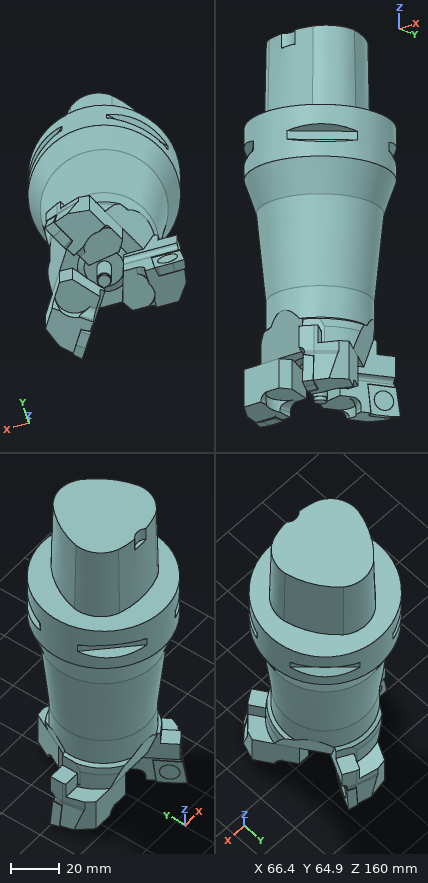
import cadquery as cq
import math


total_height = 160
flange_top = 122.2
flange_bottom = 99.7
shoulder_bottom = 85.0
taper_bottom = 46.2
flange_radius = 63.0 / 2
shoulder_radius = 26.4
neck_radius = 45.0 / 2
collar_top = 32.5
collar_chamfer_bottom = 31.4
collar_widest = 27.8
collar_top_radius = 24.2
collar_radius = 24.6
core_bottom = 19.5

shank_mean_radius = 21.8
shank_eccentricity = 1.6
lobe_angles = [90, 210, 330]
lobe_spacing = 120
lobe_half_angle = 25
shank_taper = 1.2
notch_radius = 5.1
notch_depth_y = -17.6
notch_height = 6.4

groove_count = 4
first_groove_angle = 45
groove_z = 110.0
groove_floor_offset = 28.0
groove_floor_height = 3.7
groove_flank_angle = 30

boss_top_radius = 11.0
boss_bottom_radius = 8.3
boss_bottom = 18.4
pin_radius = 6.0 / 2
pin_tip_radius = 5.5 / 2
pin_shoulder = 4.8
pin_bottom = 3.2

tooth_rotations = [0, 123, 243]
rake_y = 3.0
back_y = -17.1
block_top = 25.8
block_back_y = -4.8
ledge_low = 18.0
seat_y = 0.8
seat_fillet = rake_y - seat_y
seat_top = 14.2
tooth_bottom_rake = 0.6
tooth_bottom_back = 3.0
flare_top = 13.6
land_bottom = 14.5

flat_x = -23.8

back_outer = (-27.2, back_y)
back_inner = (-7.2, back_y)
heel = (-4.3, -12.5)
rake_inner = (-9.1, rake_y)
corner_slope = -1.4
land_x = -32
land_back_y = -3.2
land_corner_x = -30.0
flare_top_x = -33.0
flare_top_corner_x = -30.2
flare_bottom_x = -34.7
flare_bottom_corner_x = -33.0

undercut_x = -17.6
undercut_height = 6.7
undercut_radius = 3.8
undercut_bore_centre = (-10.4, -9.6)
undercut_bore_radius = 8.3

gullet_top = 37.5
gullet_reach = 64

insert_face_y = 1.1
insert_thickness = 4.3
insert_relief = 9
insert_outline = [(-34.9, 0.5), (-29.6, 0), (-23.2, 0), (-22.0, 0.3), (-20.5, 13.1), (-33.0, 13.0)]
screw_x = -27.5
screw_z = 6.5
screw_radius = 8.5 / 2


def rotated(shape, angle):
    """Place a copy of the shape turned about Z."""
    turn = cq.Location(cq.Vector(0, 0, 0), cq.Vector(0, 0, 1), angle)
    return cq.Workplane(shape.val().moved(turn))


def polar(radius, degrees):
    angle = math.radians(degrees)
    return (radius * math.cos(angle), radius * math.sin(angle))


def shank_point(degrees):
    """Point on the three-lobed base outline of the shank."""
    lobe_phase = math.radians(len(lobe_angles) * (degrees - lobe_angles[0]))
    return polar(shank_mean_radius + shank_eccentricity * math.cos(lobe_phase), degrees)


def make_shank():
    """Three-lobed tapered shank with a key notch at its top."""
    outline = cq.Workplane("XY", origin=(0, 0, flange_top)).moveTo(
        *shank_point(lobe_angles[0] - lobe_half_angle)
    )
    for lobe in lobe_angles:
        outline = outline.threePointArc(shank_point(lobe), shank_point(lobe + lobe_half_angle))
        outline = outline.threePointArc(
            shank_point(lobe + lobe_spacing / 2),
            shank_point(lobe + lobe_spacing - lobe_half_angle),
        )
    shank = outline.close().extrude(total_height - flange_top, taper=shank_taper)
    notch = (
        cq.Workplane("XY", origin=(0, notch_depth_y - notch_radius, total_height - notch_height))
        .circle(notch_radius)
        .extrude(notch_height)
    )
    return shank.cut(notch)


def make_turned_core():
    """Revolved flange, neck and collar, with the centre boss and pin below."""
    return (
        cq.Workplane("XZ")
        .moveTo(0, flange_top)
        .lineTo(flange_radius, flange_top)
        .lineTo(flange_radius, flange_bottom)
        .lineTo(shoulder_radius, shoulder_bottom)
        .lineTo(neck_radius, taper_bottom)
        .lineTo(neck_radius, collar_top)
        .lineTo(collar_top_radius, collar_chamfer_bottom)
        .lineTo(collar_radius, collar_widest)
        .lineTo(collar_radius, core_bottom)
        .lineTo(boss_top_radius, core_bottom)
        .lineTo(boss_bottom_radius, boss_bottom)
        .lineTo(pin_radius, boss_bottom)
        .lineTo(pin_radius, pin_shoulder)
        .lineTo(pin_tip_radius, pin_shoulder)
        .lineTo(pin_tip_radius, pin_bottom)
        .lineTo(0, pin_bottom)
        .close()
        .revolve(360, (0, 0, 0), (0, 1, 0))
    )


def make_gripper_groove():
    """Straight trapezoid groove across the -Y side of the flange."""
    depth = flange_radius - groove_floor_offset
    half_floor = groove_floor_height / 2
    half_mouth = half_floor + depth * math.tan(math.radians(groove_flank_angle))
    return (
        cq.Workplane("YZ", origin=(0, 0, groove_z))
        .polyline([
            (-groove_floor_offset, half_floor),
            (-groove_floor_offset, -half_floor),
            (-flange_radius, -half_mouth),
            (-flange_radius, half_mouth),
        ])
        .close()
        .extrude(flange_radius, both=True)
    )


def make_gullet(pitch):
    """Sloped chip space behind a tooth, ending at the rake wall of the next one."""
    slope = (back_y + neck_radius) / (gullet_top - core_bottom)
    lower_y = back_y + slope * (core_bottom - boss_bottom)
    space = (
        cq.Workplane("YZ")
        .polyline([
            (lower_y, boss_bottom),
            (-neck_radius, gullet_top),
            (-gullet_reach, gullet_top),
            (-gullet_reach, boss_bottom),
        ])
        .close()
        .extrude(gullet_reach, both=True)
    )
    side_size = 4 * gullet_reach
    next_tooth_side = (
        cq.Workplane("XY")
        .box(side_size, side_size, side_size)
        .translate((0, rake_y - side_size / 2, 0))
    )
    return space.cut(rotated(next_tooth_side, pitch))


def make_collar_flat():
    """Space outside the flat on the collar above the tooth block."""
    return (
        cq.Workplane("XY", origin=(flat_x, 0, core_bottom))
        .box(collar_radius, 2 * collar_radius, collar_top - core_bottom, centered=(False, True, False))
        .translate((-collar_radius, 0, 0))
    )


def corner_point(x):
    """Plan point on the chamfer that cuts the back outer corner of a tooth."""
    return (x, back_y + corner_slope * (x - back_outer[0]))


def flare_plan(rake_x, corner_x):
    """Plan of the flared flank, straight from the rake side to the back corner."""
    corner = corner_point(corner_x)
    fraction = (rake_y - land_back_y) / (rake_y - corner[1])
    middle = (rake_x + fraction * (corner_x - rake_x), land_back_y)
    return [(rake_x, rake_y), middle, corner, back_outer, back_inner, heel, rake_inner]


def make_tooth():
    """Tooth with rake wall, insert seat, stepped top, flared flank and undercut."""
    land_plan = [
        (land_x, rake_y),
        (land_x, land_back_y),
        corner_point(land_corner_x),
        back_outer,
        back_inner,
        heel,
        rake_inner,
    ]
    upper = (
        cq.Workplane("XY", origin=(0, 0, land_bottom))
        .polyline(land_plan)
        .close()
        .extrude(block_top - land_bottom)
    )
    lower = (
        cq.Workplane("XY")
        .polyline(flare_plan(flare_bottom_x, flare_bottom_corner_x))
        .close()
        .workplane(offset=flare_top)
        .polyline(flare_plan(flare_top_x, flare_top_corner_x))
        .close()
        .workplane(offset=land_bottom - flare_top)
        .polyline(land_plan)
        .close()
        .loft(ruled=True)
    )
    arc_offset = seat_fillet * math.sqrt(0.5)
    side = (
        cq.Workplane("YZ")
        .moveTo(rake_y, block_top)
        .lineTo(block_back_y, block_top)
        .lineTo(block_back_y, ledge_low)
        .lineTo(back_y, core_bottom)
        .lineTo(back_y, tooth_bottom_back)
        .lineTo(seat_y, tooth_bottom_rake)
        .lineTo(seat_y, seat_top)
        .threePointArc((rake_y - arc_offset, seat_top + arc_offset), (rake_y, seat_top + seat_fillet))
        .close()
        .extrude(-gullet_reach)
    )
    undercut = (
        cq.Workplane("XZ", origin=(0, rake_y, 0))
        .moveTo(undercut_x, 0)
        .lineTo(undercut_x, undercut_height - undercut_radius)
        .radiusArc((undercut_x + undercut_radius, undercut_height), undercut_radius)
        .lineTo(0, undercut_height)
        .lineTo(0, 0)
        .close()
        .extrude(rake_y - back_y)
    )
    undercut_bore = (
        cq.Workplane("XY")
        .center(*undercut_bore_centre)
        .circle(undercut_bore_radius)
        .extrude(undercut_height)
    )
    root = (
        cq.Workplane("XY", origin=(0, 0, ledge_low))
        .circle(collar_radius)
        .extrude(core_bottom - ledge_low)
        .intersect(upper)
    )
    return upper.union(lower).intersect(side).union(root).cut(undercut).cut(undercut_bore)


def make_insert_blank():
    """Insert without its screw hole: its four sides lean in behind the rake face."""
    return (
        cq.Workplane("XZ", origin=(0, insert_face_y, 0))
        .polyline(insert_outline)
        .close()
        .extrude(insert_thickness, taper=insert_relief)
    )


def make_screw():
    """Screw head, flush with the rake face and as deep as the insert."""
    return (
        cq.Workplane("XZ", origin=(screw_x, insert_face_y, screw_z))
        .circle(screw_radius)
        .extrude(insert_thickness)
    )


def make_body():
    """Shank, core and teeth in one piece, with the insert pockets cut."""
    body = make_turned_core()
    for index in range(groove_count):
        body = body.cut(rotated(make_gripper_groove(), first_groove_angle + index * 360 / groove_count))
    next_rotations = tooth_rotations[1:] + [360]
    for rotation, next_rotation in zip(tooth_rotations, next_rotations):
        body = body.cut(rotated(make_gullet(next_rotation - rotation), rotation))
        body = body.cut(rotated(make_collar_flat(), rotation))
    for rotation in tooth_rotations:
        body = body.union(rotated(make_tooth(), rotation))
        body = body.cut(rotated(make_insert_blank(), rotation))
    return body.union(make_shank())


body = make_body()
inserts = []
screws = []
for rotation in tooth_rotations:
    screw = make_screw()
    insert = make_insert_blank().cut(screw)
    inserts.append(rotated(insert, rotation).val())
    screws.append(rotated(screw, rotation).val())

result = cq.Compound.makeCompound([body.val(), *inserts, *screws])